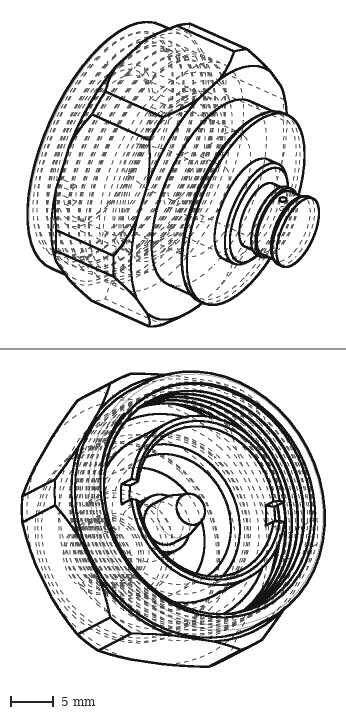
import cadquery as cq
import math


ACROSS_FLATS = 31.75
ACROSS_CORNERS = 34.98
HEX_START = 3.95
HEX_END = 15.3
HEX_FRONT_FACE_RADIUS = 16.13
HEX_BACK_FACE_RADIUS = 16.02
HEX_FRONT_CHAMFER = 1.6
HEX_BACK_CHAMFER = 1.5
COLLAR_RADIUS = 15.67
COLLAR_ROUND = 0.42

THREAD_CREST_RADIUS = 13.5
THREAD_ROOT_RADIUS = 14.4
THREAD_PITCH = 1.5
THREAD_END = 7.6
THREAD_START_ANGLE = 93
GROOVE_FILL = 0.98
GROOVE_OVERCUT = 0.07
ENTRY_RADIUS = 14.2
RELIEF_RADIUS = 14.48
SHOULDER_X = 10.15

SLEEVE_START = 0.15
SLEEVE_RADIUS = 10.25
SLEEVE_BORE_RADIUS = 9.1
SLEEVE_CHAMFER = 0.52
SLEEVE_BORE_END = 9.2
SLOT_WIDTH = 2.45
SLOT_DEPTH = 2.5

SEAL_MEAN_RADIUS = 11.45
SEAL_SECTION_RADIUS = 1.25
SEAL_X = 9.1

CAVITY_RADIUS = 7.9
CAVITY_END = 15.75
PIN_TIP_X = 4.4
PIN_TIP_RADIUS = 1.9
PIN_TAPER_LENGTH = 3.5
PIN_RADIUS = 2.6
PIN_BASE_RADIUS = 3.5
PIN_BASE_X = 11.2

BARREL_RADIUS = 11.8
RIM_RADIUS = 12.1
RIM_START = 19.55
RIM_END = 20.55
STEP_RADIUS = 6.4
STEP_END = 22.42
STEP_CHAMFER = 0.42
NECK_RADIUS = 4.05
BEAD_RADIUS = 4.37
BEAD_START = 24.35
BEAD_END = 24.95
LIP_START = 26.95
LIP_TAPER = 0.42
LENGTH = 28.0
PORT_X = 25.9
PORT_DIAMETER = 0.85
PORT_DEPTH = 1.4


def turned(profile):
    """Solid of revolution about X from (x, radius) points."""
    return cq.Workplane("XY").polyline(profile).close().revolve(360, (0, 0, 0), (1, 0, 0))


def disc(start, end, radius):
    """Cylinder along X."""
    return cq.Workplane("YZ").workplane(offset=start).circle(radius).extrude(end - start)


def hexagon():
    """Hexagon with flats facing +Z and -Z, corners turned round and both ends chamfered."""
    corner_radius = ACROSS_CORNERS / 2
    flats = (
        cq.Workplane("YZ")
        .workplane(offset=HEX_START)
        .polygon(6, ACROSS_FLATS / math.cos(math.pi / 6))
        .extrude(HEX_END - HEX_START)
    )
    envelope = turned([
        (HEX_START, 0),
        (HEX_START, HEX_FRONT_FACE_RADIUS),
        (HEX_START + HEX_FRONT_CHAMFER, corner_radius),
        (HEX_END - HEX_BACK_CHAMFER, corner_radius),
        (HEX_END, HEX_BACK_FACE_RADIUS),
        (HEX_END, 0),
    ])
    return flats.intersect(envelope)


def thread_groove():
    """Helical V-groove that enters at the mating face and runs out into the relief."""
    inner_radius = THREAD_CREST_RADIUS - GROOVE_OVERCUT
    half_width = GROOVE_FILL * THREAD_PITCH / 2
    lead_in = THREAD_PITCH
    run_out = THREAD_PITCH / 2
    helix = cq.Wire.makeHelix(THREAD_PITCH, lead_in + THREAD_END + run_out, THREAD_CREST_RADIUS)
    groove = (
        cq.Workplane("XZ")
        .polyline([
            (inner_radius, -half_width),
            (THREAD_ROOT_RADIUS, 0),
            (inner_radius, half_width),
        ])
        .close()
        .sweep(cq.Workplane(helix), isFrenet=True)
    )
    along_x = groove.rotate((0, 0, 0), (0, 1, 0), 90)
    return along_x.rotate((0, 0, 0), (1, 0, 0), THREAD_START_ANGLE).translate((-lead_in, 0, 0))


def nut():
    """Hexagon nut with a round front collar, threaded inside and closed down onto the body at the back."""
    collar = disc(0, HEX_START, COLLAR_RADIUS).faces("<X").edges().fillet(COLLAR_ROUND)
    opening = turned([
        (0, 0),
        (0, ENTRY_RADIUS),
        (ENTRY_RADIUS - THREAD_CREST_RADIUS, THREAD_CREST_RADIUS),
        (THREAD_END, THREAD_CREST_RADIUS),
        (THREAD_END, RELIEF_RADIUS),
        (SHOULDER_X, RELIEF_RADIUS),
        (SHOULDER_X, SLEEVE_RADIUS),
        (HEX_END, SLEEVE_RADIUS),
        (HEX_END, 0),
    ])
    return hexagon().union(collar).cut(opening).cut(thread_groove())


def body():
    """Slotted sleeve, barrel, step and cable neck as one turned piece, with a blind port in the neck."""
    turning = turned([
        (SLEEVE_START, 0),
        (SLEEVE_START, SLEEVE_RADIUS),
        (SHOULDER_X, SLEEVE_RADIUS),
        (SHOULDER_X, BARREL_RADIUS),
        (RIM_START, BARREL_RADIUS),
        (RIM_START + RIM_RADIUS - BARREL_RADIUS, RIM_RADIUS),
        (RIM_END, RIM_RADIUS),
        (RIM_END, STEP_RADIUS),
        (STEP_END - STEP_CHAMFER, STEP_RADIUS),
        (STEP_END, STEP_RADIUS - STEP_CHAMFER),
        (STEP_END, NECK_RADIUS),
        (BEAD_START, NECK_RADIUS),
        (BEAD_START, BEAD_RADIUS),
        (BEAD_END, BEAD_RADIUS),
        (BEAD_END, NECK_RADIUS),
        (LIP_START, NECK_RADIUS),
        (LIP_START + LIP_TAPER, BEAD_RADIUS),
        (LENGTH, BEAD_RADIUS),
        (LENGTH, 0),
    ])
    bore = turned([
        (SLEEVE_START, 0),
        (SLEEVE_START, SLEEVE_BORE_RADIUS + SLEEVE_CHAMFER),
        (SLEEVE_START + SLEEVE_CHAMFER, SLEEVE_BORE_RADIUS),
        (SLEEVE_BORE_END, SLEEVE_BORE_RADIUS),
        (SLEEVE_BORE_END, CAVITY_RADIUS),
        (CAVITY_END, CAVITY_RADIUS),
        (CAVITY_END, 0),
    ])
    slots = (
        cq.Workplane("XY", origin=(SLEEVE_START, 0, 0))
        .box(SLOT_DEPTH, 2 * SLEEVE_RADIUS, SLOT_WIDTH, centered=(False, True, True))
    )
    port = (
        cq.Workplane("XY", origin=(PORT_X, 0, NECK_RADIUS - PORT_DEPTH))
        .circle(PORT_DIAMETER / 2)
        .extrude(PORT_DEPTH)
    )
    return turning.cut(bore).cut(slots).cut(port)


def pin():
    """Centre pin with a long tapered tip, standing on a thicker base."""
    return turned([
        (PIN_TIP_X, 0),
        (PIN_TIP_X, PIN_TIP_RADIUS),
        (PIN_TIP_X + PIN_TAPER_LENGTH, PIN_RADIUS),
        (PIN_BASE_X, PIN_RADIUS),
        (PIN_BASE_X, PIN_BASE_RADIUS),
        (CAVITY_END, PIN_BASE_RADIUS),
        (CAVITY_END, 0),
    ])


def seal():
    """Round-section ring, slightly embedded in the sleeve and in the nut shoulder."""
    centre = cq.Vector(SEAL_X, 0, 0)
    ring = cq.Solid.makeTorus(SEAL_MEAN_RADIUS, SEAL_SECTION_RADIUS, centre, cq.Vector(1, 0, 0))
    return cq.Workplane(ring)


result = nut().union(body()).union(pin()).union(seal())